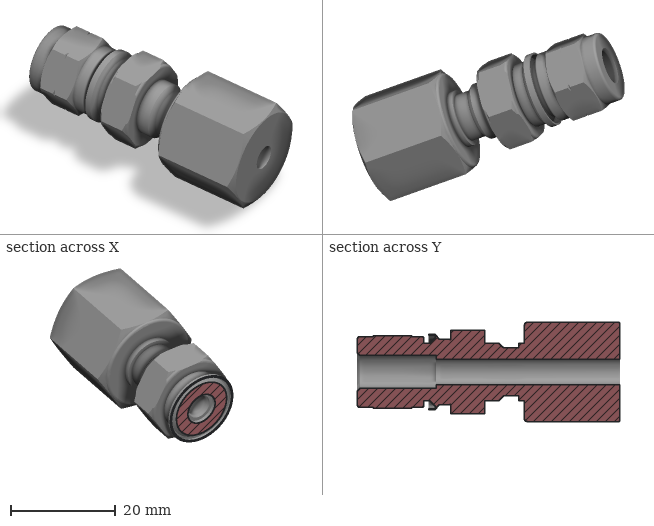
import cadquery as cq
import math


total_length = 50.2
nut_hex_start = 2.95
nut_hex_end = 10.55
nut_end = 12.75
flange_start = 13.65
flange_rim_end = 14.85
flange_cone_end = 15.65
body_hex_start = 17.85
body_hex_end = 24.4
shank_cone_start = 27.05
shank_cone_end = 28.0
shoulder_start = 30.8
end_hex_start = 31.9

nut_diameter = 13.6
flange_diameter = 14.6
body_diameter = 12.6
shank_diameter = 11.1
neck_diameter = 9.3

recess_diameter = 13.9
recess_end = 14.9
recess_chamfer = 1.0

nut_flats = 14.0
body_flats = 16.0
end_flats = 19.0
body_face_diameter = 17.15
end_face_diameter = end_flats
outlet_face_diameter = 18.65
hex_chamfer_angle = 60.0

face_round = 0.5
nut_rear_round = 0.35
body_undercut = 0.2

mark_position = 6.85
mark_width = 0.5
mark_depth = 0.45

tube_bore_diameter = 6.2
tube_bore_depth = 15.05
tube_bore_chamfer = 0.5
through_bore_diameter = 4.8


def corner_radius(flats):
    return flats / 2 / math.cos(math.radians(30))


def cylinder(start, end, diameter):
    return cq.Workplane("YZ", origin=(start, 0, 0)).circle(diameter / 2).extrude(end - start)


def revolve_about_x(profile):
    return profile.close().revolve(360, (0, 0, 0), (1, 0, 0))


def hexagon(start, end, flats):
    corner_to_corner = 2 * corner_radius(flats)
    return cq.Workplane("YZ", origin=(start, 0, 0)).polygon(6, corner_to_corner).extrude(end - start)


def chamfer_length(flats, face_diameter):
    """Axial length of the cone from the end face out to the hexagon corners."""
    rise = corner_radius(flats) - face_diameter / 2
    return rise / math.tan(math.radians(hex_chamfer_angle))


def chamfered_hexagon(start, end, flats, start_face, end_face, start_round=0.0, end_round=0.0):
    """Hexagon turned at both ends to a cone, with an optional rounded face in front of it."""
    corner = corner_radius(flats)
    start_cone = start + start_round
    end_cone = end - end_round
    envelope = cq.Workplane("XY").moveTo(start, 0).lineTo(start, start_face / 2 - start_round)
    if start_round:
        envelope = envelope.radiusArc((start_cone, start_face / 2), start_round)
    envelope = envelope.lineTo(start_cone + chamfer_length(flats, start_face), corner)
    envelope = envelope.lineTo(end_cone - chamfer_length(flats, end_face), corner)
    envelope = envelope.lineTo(end_cone, end_face / 2)
    if end_round:
        envelope = envelope.radiusArc((end, end_face / 2 - end_round), end_round)
    envelope = envelope.lineTo(end, 0)
    return hexagon(start, end, flats).intersect(revolve_about_x(envelope))


def corner_mark():
    corner = corner_radius(nut_flats)
    groove = (
        cq.Workplane("XY")
        .moveTo(mark_position, corner - mark_depth)
        .lineTo(mark_position - mark_width / 2, corner)
        .lineTo(mark_position + mark_width / 2, corner)
    )
    return revolve_about_x(groove)


def tube_nut():
    collar = cylinder(0, nut_end, nut_diameter)
    collar = collar.faces("<X").edges().fillet(face_round)
    collar = collar.faces(">X").edges().fillet(nut_rear_round)
    hex_part = chamfered_hexagon(nut_hex_start, nut_hex_end, nut_flats, nut_diameter, nut_diameter)
    return collar.union(hex_part.cut(corner_mark()))


def turned_body():
    body_radius = body_diameter / 2
    shank_radius = shank_diameter / 2
    neck_radius = neck_diameter / 2
    profile = (
        cq.Workplane("XY")
        .moveTo(nut_hex_end, 0)
        .lineTo(nut_hex_end, shank_radius)
        .lineTo(recess_end - recess_chamfer, shank_radius)
        .lineTo(recess_end, shank_radius + recess_chamfer)
        .lineTo(recess_end, recess_diameter / 2)
        .lineTo(flange_start, recess_diameter / 2)
        .lineTo(flange_start, flange_diameter / 2)
        .lineTo(flange_rim_end, flange_diameter / 2)
        .lineTo(flange_cone_end, body_radius)
        .lineTo(body_hex_start - body_undercut, body_radius)
        .lineTo(body_hex_start, body_radius - body_undercut)
        .lineTo(body_hex_start, shank_radius)
        .lineTo(shank_cone_start, shank_radius)
        .lineTo(shank_cone_end, neck_radius)
        .lineTo(shoulder_start, neck_radius)
        .lineTo(shoulder_start, shank_radius)
        .lineTo(end_hex_start, shank_radius)
        .lineTo(end_hex_start, 0)
    )
    return revolve_about_x(profile)


def body_hexagon():
    return chamfered_hexagon(
        body_hex_start, body_hex_end, body_flats,
        body_face_diameter, body_face_diameter, face_round, face_round,
    )


def end_hexagon():
    return chamfered_hexagon(
        end_hex_start, total_length, end_flats,
        end_face_diameter, outlet_face_diameter, face_round,
    )


def bores():
    tube_radius = tube_bore_diameter / 2
    through_radius = through_bore_diameter / 2
    profile = (
        cq.Workplane("XY")
        .moveTo(0, 0)
        .lineTo(0, tube_radius + tube_bore_chamfer)
        .lineTo(tube_bore_chamfer, tube_radius)
        .lineTo(tube_bore_depth, tube_radius)
        .lineTo(tube_bore_depth, through_radius)
        .lineTo(total_length, through_radius)
        .lineTo(total_length, 0)
    )
    return revolve_about_x(profile)


result = tube_nut().union(turned_body()).union(body_hexagon()).union(end_hexagon()).cut(bores())